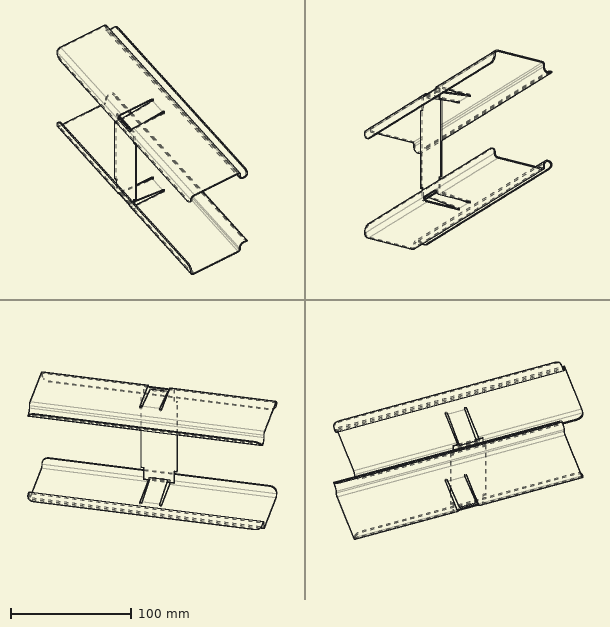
import cadquery as cq

length = 200.0
height = 98.0
sheet = 1.2
top = height / 2

flange_drop = 10.2
front_bend = 3.5
rear_bend = 2.5
hook_radius = 4.8
hook_y = 53.5
hook_z = top - 4.8
wall_front = hook_y - hook_radius
wall_back = wall_front + sheet
flange_corner = 6.0
hook_corner_x = 6.0
hook_corner_z = 4.5

window_width = 18.5
window_corner = 1.5
slot_width = 1.8
slot_end = 35.2
tongue_width = window_width - 2 * slot_width
tongue_root = 33.5
tongue_tip = 2.5
tongue_drop = 3.5

web_width = 30.8
neck_width = 26.0
shoulder_drop = 13.8
web_top_drop = 2.0


def hook_corner_cut():
    """Waste outside the elliptical corner at the right end of the hook's lip."""
    plane = cq.Workplane("XZ", origin=(length / 2 - hook_corner_x, hook_y, hook_z - hook_corner_z))
    block = plane.rect(hook_corner_x, hook_corner_z, centered=False).extrude(-hook_radius)
    return block.cut(plane.ellipse(hook_corner_x, hook_corner_z).extrude(-hook_radius))


def channel_sheet():
    """Bent sheet section in YZ, extruded along X, with rounded free corners."""
    inner_front = front_bend - sheet
    inner_rear = rear_bend - sheet
    inner_hook = hook_radius - sheet
    flange_bottom = top - flange_drop
    section = (
        cq.Workplane("YZ")
        .moveTo(0, flange_bottom)
        .lineTo(0, top - front_bend)
        .radiusArc((front_bend, top), front_bend)
        .lineTo(wall_back - rear_bend, top)
        .radiusArc((wall_back, top - rear_bend), rear_bend)
        .lineTo(wall_back, hook_z)
        .threePointArc((hook_y, hook_z - inner_hook), (hook_y + inner_hook, hook_z))
        .lineTo(hook_y + hook_radius, hook_z)
        .threePointArc((hook_y, hook_z - hook_radius), (wall_front, hook_z))
        .lineTo(wall_front, top - rear_bend)
        .radiusArc((wall_front - inner_rear, top - sheet), -inner_rear)
        .lineTo(front_bend, top - sheet)
        .radiusArc((sheet, top - front_bend), -inner_front)
        .lineTo(sheet, flange_bottom)
        .close()
    )
    body = section.extrude(length / 2, both=True)
    end_edges = body.faces("<X or >X").edges("|Y")
    flange_ends = end_edges.filter(lambda edge: edge.Center().y < sheet)
    body = flange_ends.fillet(flange_corner)
    right_cut = hook_corner_cut()
    return body.cut(right_cut).cut(right_cut.mirror("YZ"))


def window():
    """Opening through the plate and front bend, with a round-ended slot each side."""
    depth = front_bend
    opening = (
        cq.Workplane("XY")
        .box(window_width, tongue_root, depth, centered=(True, False, False))
        .translate((0, 0, top - depth))
        .faces("<Z")
        .edges("|Y")
        .fillet(window_corner)
    )
    slot_length = slot_end - tongue_tip
    slots = (
        cq.Workplane("XY", origin=(0, (slot_end + tongue_tip) / 2, top - sheet))
        .pushPoints([(side * (window_width - slot_width) / 2, 0) for side in (-1, 1)])
        .slot2D(slot_length, slot_width, 90)
        .extrude(sheet)
    )
    return opening.union(slots)


def tongue():
    """Straight tongue sloping from the plate to just behind the web."""
    return (
        cq.Workplane("YZ")
        .moveTo(tongue_root, top)
        .lineTo(tongue_tip, top - tongue_drop)
        .lineTo(tongue_tip, top - tongue_drop - sheet)
        .lineTo(tongue_root, top - sheet)
        .close()
        .extrude(tongue_width / 2, both=True)
    )


def web():
    """Flat upright behind the flanges, narrower where it meets each channel."""
    wide_height = height - 2 * shoulder_drop
    neck_height = height - 2 * web_top_drop
    wide = cq.Workplane("XY").box(web_width, sheet, wide_height)
    neck = cq.Workplane("XY").box(neck_width, sheet, neck_height)
    return wide.union(neck).translate((0, 1.5 * sheet, 0))


upper = channel_sheet().cut(window()).union(tongue())
lower = upper.mirror("XY")
result = upper.union(lower).union(web())